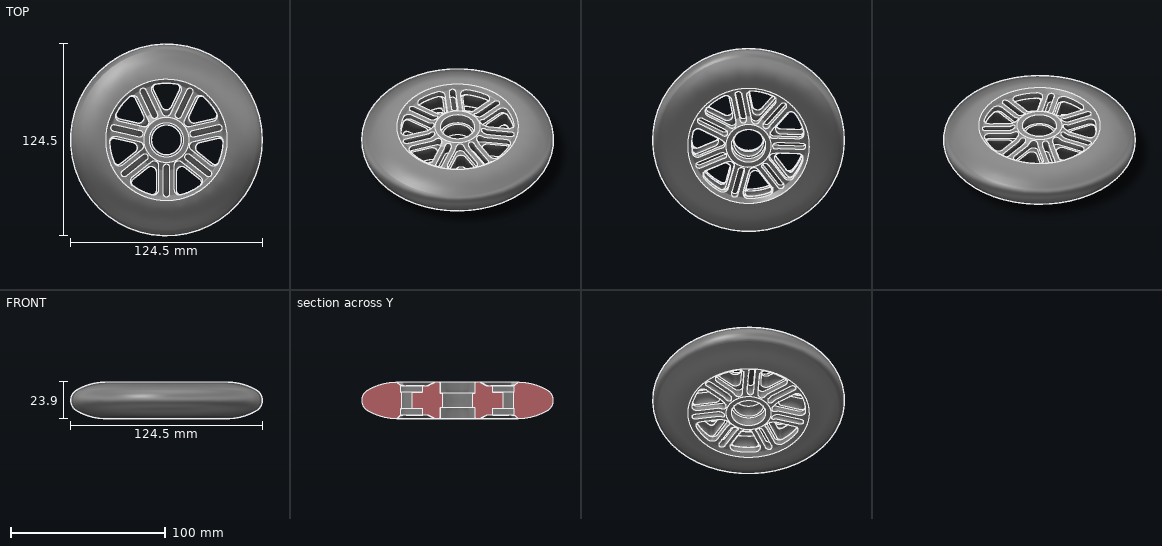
import cadquery as cq
import math

outer_radius = 62.23
half_width = 11.965
shoulder_radius = 58.7
shoulder_height = 6.56
tire_inner_radius = 39.4

hub_radius = 14.65
bearing_radius = 11.1
bearing_depth = 7.3
bore_radius = 9.6

spoke_height = 9.5
hub_cone_foot_radius = 19.4
rim_cone_foot_radius = 36.65
cone_foot_fillet = 1.8

spoke_count = 7
first_window_angle = 90.0
rim_ledge_width = 0.15
pocket_floor_height = 5.3
pocket_spoke_half_width = 5.06
pocket_inner_radius = 15.4
pocket_outer_radius = 36.85
pocket_inner_fillet = 2.75
pocket_outer_fillet = 3.5
opening_spoke_half_width = 6.56
opening_inner_radius = 19.6
opening_outer_radius = pocket_outer_radius - rim_ledge_width
opening_inner_fillet = 3.25
opening_outer_fillet = 2.5

slot_width = 4.2
slot_inner_radius = 15.7
slot_outer_radius = 37.0
slot_floor_height = 2.5

window_pitch = 360.0 / spoke_count
half_pitch = math.radians(window_pitch / 2)
first_spoke_angle = first_window_angle + window_pitch / 2


def flank_middle():
    """Point halfway along a flank arc that is level at the tire's inner edge."""
    run = shoulder_radius - tire_inner_radius
    drop = half_width - shoulder_height
    flank_radius = (run**2 + drop**2) / (2 * drop)
    half_angle = math.asin(run / flank_radius) / 2
    radius = tire_inner_radius + flank_radius * math.sin(half_angle)
    height = half_width - flank_radius * (1 - math.cos(half_angle))
    return radius, height


def wheel_blank():
    """Solid of revolution: tire, sunken spoke disc and hub without its bore."""
    flank_radius, flank_height = flank_middle()
    blank = (
        cq.Workplane("XZ")
        .moveTo(0, -half_width)
        .lineTo(hub_radius, -half_width)
        .lineTo(hub_cone_foot_radius, -spoke_height)
        .lineTo(rim_cone_foot_radius, -spoke_height)
        .lineTo(tire_inner_radius, -half_width)
        .threePointArc((flank_radius, -flank_height), (shoulder_radius, -shoulder_height))
        .threePointArc((outer_radius, 0), (shoulder_radius, shoulder_height))
        .threePointArc((flank_radius, flank_height), (tire_inner_radius, half_width))
        .lineTo(rim_cone_foot_radius, spoke_height)
        .lineTo(hub_cone_foot_radius, spoke_height)
        .lineTo(hub_radius, half_width)
        .lineTo(0, half_width)
        .close()
        .revolve(360, (0, 0, 0), (0, 1, 0))
    )
    foot_edges = blank.edges("%CIRCLE").filter(
        lambda edge: math.isclose(abs(edge.Center().z), spoke_height, abs_tol=1e-6)
    )
    return foot_edges.fillet(cone_foot_fillet)


def window_cutter(spoke_half_width, inner_radius, rim_side_radius, inner_fillet, outer_fillet):
    """Prism through the wheel along +X, with sides parallel to the two spokes beside it."""
    def side_point(radius):
        angle = half_pitch - math.asin(spoke_half_width / radius)
        return radius * math.cos(angle), radius * math.sin(angle)

    inner_x, inner_y = side_point(inner_radius)
    outer_x, outer_y = side_point(rim_side_radius)
    prism = (
        cq.Workplane("XY")
        .moveTo(inner_x, -inner_y)
        .lineTo(outer_x, -outer_y)
        .threePointArc((rim_side_radius, 0), (outer_x, outer_y))
        .lineTo(inner_x, inner_y)
        .threePointArc((inner_radius, 0), (inner_x, -inner_y))
        .close()
        .extrude(half_width, both=True)
    )
    prism = prism.edges("|Z").edges(">X").fillet(outer_fillet)
    return prism.edges("|Z").edges("<X").fillet(inner_fillet)


def slot_cutter():
    """Round-ended slot along +X, from its floor up past the wheel's face."""
    length = slot_outer_radius - slot_inner_radius
    middle_radius = (slot_outer_radius + slot_inner_radius) / 2
    return (
        cq.Workplane("XY", origin=(middle_radius, 0, slot_floor_height))
        .slot2D(length, slot_width)
        .extrude(half_width)
    )


def cut_windows(body):
    """Cut a pocket from each side and the smaller opening through the web between them."""
    opening = window_cutter(
        opening_spoke_half_width,
        opening_inner_radius,
        opening_outer_radius,
        opening_inner_fillet,
        opening_outer_fillet,
    )
    pocket = window_cutter(
        pocket_spoke_half_width,
        pocket_inner_radius,
        pocket_outer_radius,
        pocket_inner_fillet,
        pocket_outer_fillet,
    )
    web = cq.Workplane("XY").circle(outer_radius).extrude(pocket_floor_height, both=True)
    window = pocket.cut(web).union(opening)
    for index in range(spoke_count):
        angle = first_window_angle + index * window_pitch
        body = body.cut(window.rotate((0, 0, 0), (0, 0, 1), angle))
    return body


def cut_slots(body):
    """Cut a blind slot along every spoke, from both sides."""
    upper_slot = slot_cutter()
    slots = upper_slot.union(upper_slot.mirror("XY"))
    for index in range(spoke_count):
        angle = first_spoke_angle + index * window_pitch
        body = body.cut(slots.rotate((0, 0, 0), (0, 0, 1), angle))
    return body


def cut_hub(body):
    """Bore the hub and sink a bearing seat into each end."""
    bore = cq.Workplane("XY").circle(bore_radius).extrude(half_width, both=True)
    seats = cq.Workplane("XY").circle(bearing_radius).extrude(half_width, both=True)
    web = cq.Workplane("XY").circle(hub_radius).extrude(half_width - bearing_depth, both=True)
    return body.cut(bore).cut(seats.cut(web))


result = cut_hub(cut_slots(cut_windows(wheel_blank())))